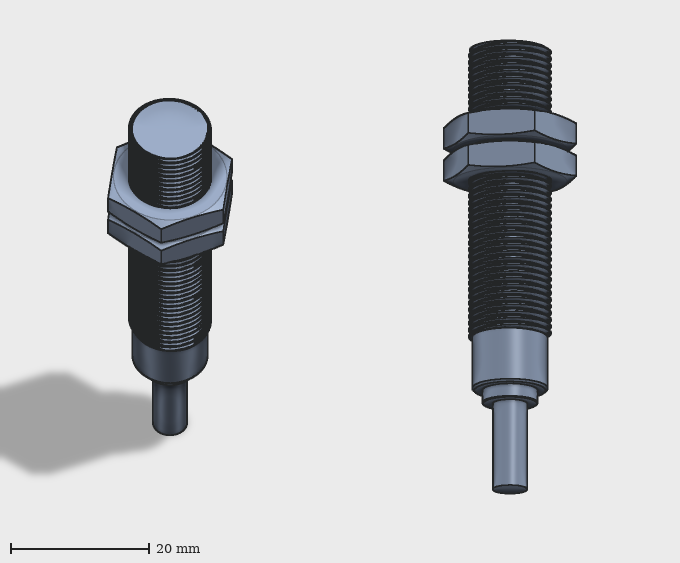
import cadquery as cq
import math

TOTAL_LENGTH = 65.7
CABLE_LENGTH = 12.8
GLAND_LENGTH = 2.0
PLAIN_LENGTH = 7.95
THREAD_LENGTH = TOTAL_LENGTH - CABLE_LENGTH - GLAND_LENGTH - PLAIN_LENGTH

CABLE_DIAMETER = 5.0
GLAND_DIAMETER = 8.0
PLAIN_DIAMETER = 11.0
PLAIN_CHAMFER = 0.3
GLAND_CHAMFER = 0.1

THREAD_DIAMETER = 11.95
THREAD_TURNS = 43
PITCH = THREAD_LENGTH / THREAD_TURNS
GROOVE_DEPTH = 0.7
SPIRAL_POINTS = 24

ACROSS_FLATS = 16.8
NUT_HEIGHT = 3.95
NUT_SPACING = 4.8
NUT_TOP_OFFSET = 10.9
NUT_CHAMFER_ANGLE = 17.0
NUT_FACE_DIAMETER = 16.4
NUT_COUNT = 2

BASE_Z = -TOTAL_LENGTH / 2
GLAND_Z = BASE_Z + CABLE_LENGTH
PLAIN_Z = GLAND_Z + GLAND_LENGTH
THREAD_Z = PLAIN_Z + PLAIN_LENGTH
FACE_Z = THREAD_Z + THREAD_LENGTH


def cylinder(diameter, bottom, height):
    return cq.Workplane("XY").workplane(offset=bottom).circle(diameter / 2).extrude(height)


def thread_section_point(half_turn, side):
    """Point of the thread's flat section; half_turn runs from 0 at the crest to 1 at the root."""
    radius = THREAD_DIAMETER / 2 - GROOVE_DEPTH * half_turn
    angle = math.pi * half_turn
    return radius * math.cos(angle), side * radius * math.sin(angle)


def make_thread_turn():
    """One pitch of V thread on the XY plane: two mirrored spirals, twisted through a full turn."""
    section = (
        cq.Workplane("XY")
        .parametricCurve(lambda t: thread_section_point(t, 1), N=SPIRAL_POINTS, makeWire=False)
        .parametricCurve(lambda t: thread_section_point(1 - t, -1), N=SPIRAL_POINTS, makeWire=False)
        .wire()
    )
    return section.twistExtrude(PITCH, 360, combine=False)


def make_threaded_barrel():
    """Stack of identical turns, closed by one flat face at each end."""
    turn = make_thread_turn()
    flanks = [face for face in turn.faces().vals() if face.geomType() != "PLANE"]
    bottom_face = turn.faces("<Z").val()
    top_face = turn.faces(">Z").val()
    faces = [bottom_face, top_face.translate(cq.Vector(0, 0, THREAD_LENGTH - PITCH))]
    for index in range(THREAD_TURNS):
        lift = cq.Vector(0, 0, index * PITCH)
        faces += [flank.translate(lift) for flank in flanks]
    barrel = cq.Solid.makeSolid(cq.Shell.makeShell(faces))
    return cq.Workplane(barrel.translate(cq.Vector(0, 0, THREAD_Z)))


def make_sensor():
    """Threaded barrel, plain rear sleeve, cable gland and cable."""
    cable = cylinder(CABLE_DIAMETER, BASE_Z, CABLE_LENGTH)
    gland = cylinder(GLAND_DIAMETER, GLAND_Z, GLAND_LENGTH).faces("<Z").chamfer(GLAND_CHAMFER)
    sleeve = cylinder(PLAIN_DIAMETER, PLAIN_Z, PLAIN_LENGTH).faces("<Z").chamfer(PLAIN_CHAMFER)
    rear = sleeve.union(gland).union(cable)
    return make_threaded_barrel().union(rear, clean=False)


def make_nut(top):
    """Hexagonal nut with points along Y, both faces chamfered, bored to clear the thread."""
    corner_radius = ACROSS_FLATS / 2 / math.cos(math.radians(30))
    face_radius = NUT_FACE_DIAMETER / 2
    drop = (corner_radius - face_radius) * math.tan(math.radians(NUT_CHAMFER_ANGLE))
    bottom = top - NUT_HEIGHT
    hexagon = (
        cq.Workplane("XY")
        .workplane(offset=bottom)
        .transformed(rotate=(0, 0, 90))
        .polygon(6, 2 * corner_radius)
        .circle(THREAD_DIAMETER / 2)
        .extrude(NUT_HEIGHT)
    )
    chamfer_envelope = (
        cq.Workplane("XZ")
        .moveTo(0, bottom)
        .lineTo(face_radius, bottom)
        .lineTo(corner_radius, bottom + drop)
        .lineTo(corner_radius, top - drop)
        .lineTo(face_radius, top)
        .lineTo(0, top)
        .close()
        .revolve(360, (0, 0, 0), (0, 1, 0))
    )
    return hexagon.intersect(chamfer_envelope)


sensor = make_sensor()
nuts = [make_nut(FACE_Z - NUT_TOP_OFFSET - index * NUT_SPACING) for index in range(NUT_COUNT)]

result = cq.Compound.makeCompound([sensor.solids().val(), *[nut.solids().val() for nut in nuts]])